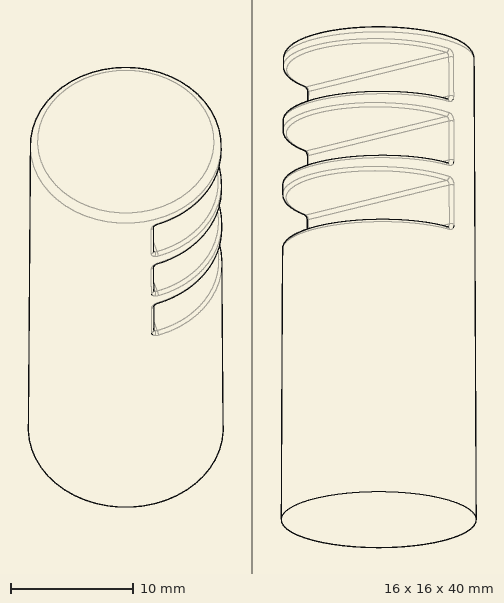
import cadquery as cq
import math

height = 40.0
base_radius = 8.0
body_draft_angle = 0.25
top_radius = base_radius - height * math.tan(math.radians(body_draft_angle))
top_edge_round = 0.6

slot_count = 3
slot_pitch = 5.5
slot_height = 3.95
top_slot_floor = 34.5
slot_draft_angle = 1.0
slot_corner_round = 0.3
slot_edge_round = 0.3
cutter_reach = base_radius + 2.0


def tapered_body():
    """Round body that narrows slightly upward, with a rounded top rim."""
    profile = [(0, 0), (base_radius, 0), (top_radius, height), (0, height)]
    body = cq.Workplane("XZ").polyline(profile).close().revolve(360, (0, 0), (0, 1))
    return body.faces(">Z").edges().fillet(top_edge_round)


def slot_cutter(floor):
    """Block that clears the +Y half, with drafted roof and floor and rounded inner corners."""
    roof = floor + slot_height
    spread = cutter_reach * math.tan(math.radians(slot_draft_angle))
    outline = [
        (0, floor),
        (cutter_reach, floor - spread),
        (cutter_reach, roof + spread),
        (0, roof),
    ]
    block = cq.Workplane("YZ").polyline(outline).close().extrude(cutter_reach, both=True)
    return block.edges("|X and <Y").fillet(slot_corner_round)


def slot_rim(body, floor):
    """Edges where one slot breaks through the outer surface."""
    margin = 2 * slot_edge_round
    lowest = (-cutter_reach, -cutter_reach, floor - margin)
    highest = (cutter_reach, cutter_reach, floor + slot_height + margin)
    slot_edges = body.edges(cq.selectors.BoxSelector(lowest, highest))
    return slot_edges.edges("not(|X)")


result = tapered_body()
for index in range(slot_count):
    slot_floor = top_slot_floor - index * slot_pitch
    result = result.cut(slot_cutter(slot_floor))
    result = slot_rim(result, slot_floor).fillet(slot_edge_round)